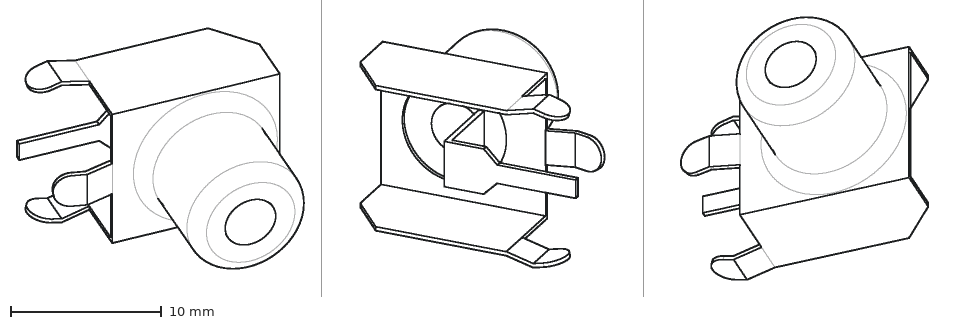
import cadquery as cq
import math

SHEET = 0.3
BRACKET_DEPTH = 6.54
BRACKET_HEIGHT = 10.6
BRACKET_TOP_Y = 5.36
BRACKET_BOTTOM_Y = -6.65
CORNER_CUT_X = 2.95
CORNER_CUT_Y = 2.49

BARREL_END_X = 14.5
BARREL_RADIUS = 4.17
BARREL_ROUND = 1.0
RECESS_RADIUS = 3.8
BORE_RADIUS = 1.81

LEG_WIDTH = 2.5
LEG_RISE = 0.5
LEG_BEND_LENGTH = 1.98
FLANGE_LEG_TIP_LENGTH = 2.0
WALL_LEG_TIP_LENGTH = 2.24
WALL_LEG_THICKNESS = 0.37
LEG_ANGLE = math.atan2(LEG_RISE, LEG_BEND_LENGTH)

CONTACT_X = 1.05
CONTACT_THICKNESS = 0.4
CONTACT_TOP_Y = -1.65
CONTACT_WIDTH = 3.3
PIN_WIDTH = 1.35
TAPER_START_Y = -4.53
TAPER_END_Y = -5.51
PIN_END_Y = BRACKET_TOP_Y - 16.6


def make_bracket():
    """Back wall with two flanges, each with its rear corner cut off."""
    outline = (
        cq.Workplane("XY")
        .moveTo(0, BRACKET_BOTTOM_Y)
        .lineTo(BRACKET_DEPTH, BRACKET_BOTTOM_Y)
        .lineTo(BRACKET_DEPTH, BRACKET_TOP_Y)
        .lineTo(CORNER_CUT_X, BRACKET_TOP_Y)
        .lineTo(0, BRACKET_TOP_Y - CORNER_CUT_Y)
        .close()
        .extrude(BRACKET_HEIGHT / 2, both=True)
    )
    channel = cq.Workplane("XY").box(
        2 * (BRACKET_DEPTH - SHEET), 4 * BRACKET_HEIGHT, BRACKET_HEIGHT - 2 * SHEET
    )
    return outline.cut(channel)


def make_barrel():
    """Revolved barrel with a concave flare at the wall and a rounded free end."""
    arc_inset = BARREL_ROUND * (1 - math.sqrt(0.5))
    flare_end_x = BRACKET_DEPTH + BARREL_ROUND
    round_start_x = BARREL_END_X - BARREL_ROUND
    return (
        cq.Workplane("XY")
        .moveTo(BRACKET_DEPTH, 0)
        .lineTo(BRACKET_DEPTH, BARREL_RADIUS + BARREL_ROUND)
        .threePointArc(
            (BRACKET_DEPTH + arc_inset, BARREL_RADIUS + arc_inset),
            (flare_end_x, BARREL_RADIUS),
        )
        .lineTo(round_start_x, BARREL_RADIUS)
        .threePointArc(
            (BARREL_END_X - arc_inset, BARREL_RADIUS - arc_inset),
            (BARREL_END_X, BARREL_RADIUS - BARREL_ROUND),
        )
        .lineTo(BARREL_END_X, 0)
        .close()
        .revolve(360, (0, 0, 0), (1, 0, 0))
    )


def axial_cylinder(radius, start_x, end_x):
    return cq.Workplane("YZ", origin=(start_x, 0, 0)).circle(radius).extrude(end_x - start_x)


def make_leg(tip_length, thickness):
    """Leg running along -Y from the origin; +Z is outward and Z = 0 is the outer sheet face."""
    slant_thickness = thickness / math.cos(LEG_ANGLE)
    tip_y = -LEG_BEND_LENGTH - tip_length
    tip_z = LEG_RISE - tip_length * math.tan(LEG_ANGLE)
    profile = [
        (0, 0),
        (-LEG_BEND_LENGTH, LEG_RISE),
        (tip_y, tip_z),
        (tip_y + thickness * math.sin(LEG_ANGLE), tip_z - thickness * math.cos(LEG_ANGLE)),
        (-LEG_BEND_LENGTH, LEG_RISE - slant_thickness),
        (0, -slant_thickness),
    ]
    strip = cq.Workplane("YZ").polyline(profile).close().extrude(LEG_WIDTH / 2, both=True)

    round_y = -LEG_BEND_LENGTH - tip_length / math.cos(LEG_ANGLE) + LEG_WIDTH / 2
    envelope = (
        cq.Workplane("XY")
        .moveTo(-LEG_WIDTH / 2, LEG_WIDTH)
        .lineTo(-LEG_WIDTH / 2, round_y)
        .threePointArc((0, round_y - LEG_WIDTH / 2), (LEG_WIDTH / 2, round_y))
        .lineTo(LEG_WIDTH / 2, LEG_WIDTH)
        .close()
        .extrude(LEG_WIDTH, both=True)
        .rotate(
            (0, -LEG_BEND_LENGTH, 0), (1, -LEG_BEND_LENGTH, 0), math.degrees(LEG_ANGLE)
        )
        .translate((0, 0, LEG_RISE))
    )
    return strip.intersect(envelope)


def make_contact():
    """Tapered pin blade and the tongue joining it to the recess floor."""
    half_width = CONTACT_WIDTH / 2
    half_pin = PIN_WIDTH / 2
    blade = (
        cq.Workplane("YZ", origin=(CONTACT_X, 0, 0))
        .moveTo(CONTACT_TOP_Y, half_width)
        .lineTo(TAPER_START_Y, half_width)
        .lineTo(TAPER_END_Y, half_pin)
        .lineTo(PIN_END_Y, half_pin)
        .lineTo(PIN_END_Y, -half_pin)
        .lineTo(TAPER_END_Y, -half_pin)
        .lineTo(TAPER_START_Y, -half_width)
        .lineTo(CONTACT_TOP_Y, -half_width)
        .close()
        .extrude(CONTACT_THICKNESS)
    )
    tongue = cq.Workplane("XY").box(
        BRACKET_DEPTH - CONTACT_X, CONTACT_THICKNESS, CONTACT_WIDTH, centered=(False, False, True)
    ).translate((CONTACT_X, CONTACT_TOP_Y - CONTACT_THICKNESS, 0))
    return blade.union(tongue)


body = make_bracket().union(make_barrel())
body = body.cut(axial_cylinder(RECESS_RADIUS, BRACKET_DEPTH - SHEET, BRACKET_DEPTH))
body = body.cut(axial_cylinder(BORE_RADIUS, BRACKET_DEPTH - SHEET, BARREL_END_X))

flange_leg = make_leg(FLANGE_LEG_TIP_LENGTH, SHEET)
top_leg = flange_leg.translate((LEG_WIDTH / 2, BRACKET_BOTTOM_Y, BRACKET_HEIGHT / 2))
bottom_leg = top_leg.mirror("XY")
wall_leg = (
    make_leg(WALL_LEG_TIP_LENGTH, WALL_LEG_THICKNESS)
    .rotate((0, 0, 0), (0, 1, 0), 90)
    .translate((BRACKET_DEPTH, BRACKET_BOTTOM_Y, 0))
)

result = body.union(make_contact())
for mounting_leg in (top_leg, bottom_leg, wall_leg):
    result = result.union(mounting_leg)